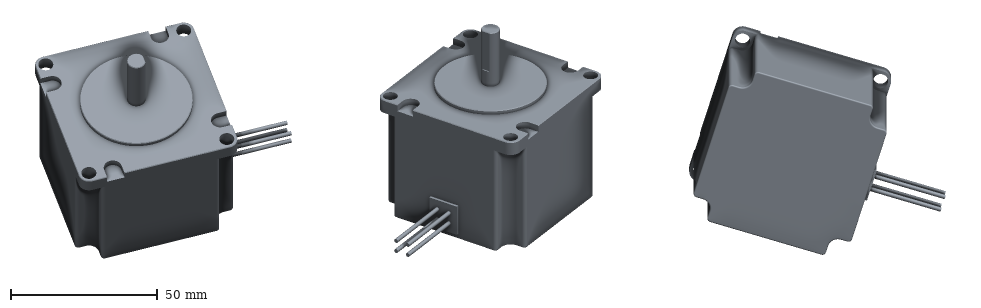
import cadquery as cq


side = 56.39
half_side = side / 2
flange_top = 44.86
flange_thickness = 5.0
flange_bottom = flange_top - flange_thickness
flange_edge_chamfer = 0.25
rear_edge_fillet = 0.5

corner_radius = 3.6
hole_position = half_side - corner_radius
hole_diameter = 5.1
relief_radius = 3.5
relief_fillet = 1.27

pilot_diameter = 38.5
pilot_height = 1.5
pilot_chamfer = 0.25

shaft_diameter = 6.35
shaft_top = 67.56
shaft_chamfer = 0.25
flat_length = 15.2
flat_distance = 2.8

pocket_width = 6.25
pocket_length = 6.45
pocket_depth = 2.5
pocket_offset = (pilot_diameter - pocket_width) / 2

outlet_size = 11.2
outlet_thickness = 0.9
outlet_center_z = 7.6
wire_diameter = 1.5
wire_spacing_x = 4.73
wire_spacing_z = 4.0
wire_length = 26.29


def make_flange():
    """Square plate with rounded corners and a broken top edge."""
    return (
        cq.Workplane("XY")
        .workplane(offset=flange_bottom)
        .rect(side, side)
        .extrude(flange_thickness)
        .edges("|Z")
        .fillet(corner_radius)
        .faces(">Z")
        .chamfer(flange_edge_chamfer)
    )


def make_body():
    """Square housing whose four corners are scooped out around the mounting holes."""
    body = cq.Workplane("XY").rect(side, side).extrude(flange_bottom)
    center = hole_position
    wall = center - relief_radius
    outside = half_side + corner_radius
    corner = (
        cq.Workplane("XY")
        .moveTo(outside, wall)
        .lineTo(center, wall)
        .radiusArc((wall, center), relief_radius)
        .lineTo(wall, outside)
        .lineTo(outside, outside)
        .close()
        .extrude(flange_bottom)
    )
    for quarter in range(4):
        body = body.cut(corner.rotate((0, 0, 0), (0, 0, 1), 90 * quarter))

    for face in ("<X", ">X", "<Y", ">Y"):
        body = body.faces(face).edges("|Z").fillet(relief_fillet)
    return body.faces("<Z").fillet(rear_edge_fillet)


def make_pilot():
    """Low round boss that centers the motor."""
    return (
        cq.Workplane("XY")
        .workplane(offset=flange_top)
        .circle(pilot_diameter / 2)
        .extrude(pilot_height)
        .faces(">Z")
        .chamfer(pilot_chamfer)
    )


def make_shaft():
    """Output shaft with a flat on its +Y side near the tip."""
    shaft = (
        cq.Workplane("XY")
        .workplane(offset=flange_top)
        .circle(shaft_diameter / 2)
        .extrude(shaft_top - flange_top)
    )
    flat = (
        cq.Workplane("XY")
        .workplane(offset=shaft_top - flat_length)
        .center(0, flat_distance + shaft_diameter / 2)
        .rect(shaft_diameter, shaft_diameter)
        .extrude(flat_length)
    )
    return shaft.cut(flat).faces(">Z").chamfer(shaft_chamfer)


def make_holes():
    """Cutters for the four mounting holes."""
    return (
        cq.Workplane("XY")
        .workplane(offset=flange_bottom)
        .rect(2 * hole_position, 2 * hole_position, forConstruction=True)
        .vertices()
        .circle(hole_diameter / 2)
        .extrude(flange_thickness)
    )


def make_pocket():
    """Cutter for the pocket in the -Y edge: a slot with its round end inboard."""
    return (
        cq.Workplane("XY")
        .workplane(offset=flange_top - pocket_depth)
        .center(-pocket_offset, -half_side)
        .slot2D(2 * pocket_length, pocket_width, 90)
        .extrude(pocket_depth)
    )


def make_leads():
    """Square lead outlet on the +Y side with a two by two group of wires."""
    outlet = (
        cq.Workplane("XY")
        .box(outlet_size, outlet_thickness, outlet_size)
        .translate((0, half_side + outlet_thickness / 2, outlet_center_z))
    )
    wires = (
        cq.Workplane("XZ", origin=(0, half_side, outlet_center_z))
        .rect(wire_spacing_x, wire_spacing_z, forConstruction=True)
        .vertices()
        .circle(wire_diameter / 2)
        .extrude(-wire_length)
    )
    return outlet.union(wires)


result = make_flange().union(make_body()).cut(make_holes())
result = result.union(make_pilot())
for quarter in range(4):
    result = result.cut(make_pocket().rotate((0, 0, 0), (0, 0, 1), 90 * quarter))
result = result.union(make_shaft()).union(make_leads())